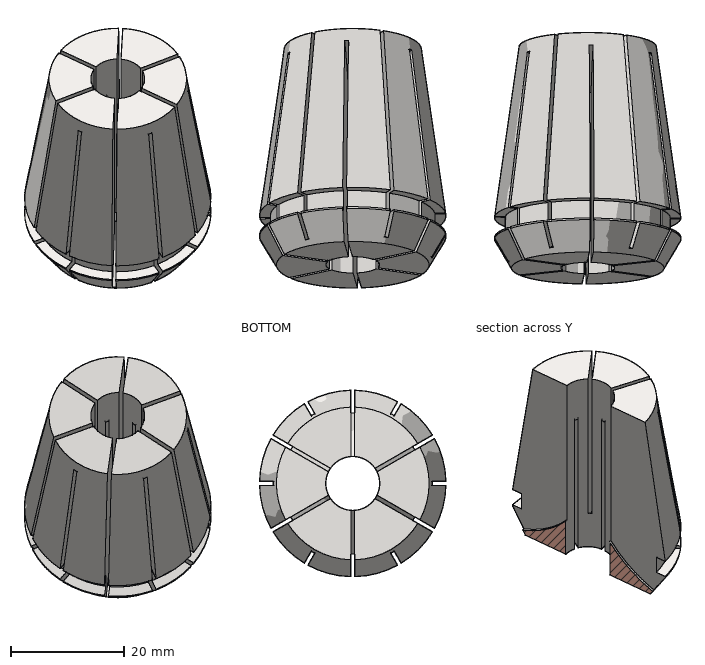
import cadquery as cq
import math

LENGTH = 40.0
MAX_RADIUS = 33.0 / 2
BORE_RADIUS = 9.5 / 2

TAPER_ANGLE = 8.0
TAPER_START_Z = 9.1

GROOVE_RADIUS = 29.2 / 2
GROOVE_BOTTOM_Z = 5.5
NOSE_ANGLE = 30.0
NOSE_RIM_Z = 5.2

SLOT_WIDTH = 0.7
SLOTS_PER_END = 6
SLOT_PITCH = 360.0 / SLOTS_PER_END
SAW_RADIUS = 21.5
SLOT_END_RISE = 7.0
TOP_SLOT_END_Z = 1.0
BOTTOM_SLOT_END_Z = 37.7
CLEARANCE = 2.0


def taper_radius(z):
    return MAX_RADIUS - (z - TAPER_START_Z) * math.tan(math.radians(TAPER_ANGLE))


def nose_radius(z):
    return MAX_RADIUS - (NOSE_RIM_Z - z) * math.tan(math.radians(NOSE_ANGLE))


def collet_body():
    profile = [
        (BORE_RADIUS, 0),
        (nose_radius(0), 0),
        (MAX_RADIUS, NOSE_RIM_Z),
        (MAX_RADIUS, GROOVE_BOTTOM_Z),
        (GROOVE_RADIUS, GROOVE_BOTTOM_Z),
        (GROOVE_RADIUS, TAPER_START_Z),
        (MAX_RADIUS, TAPER_START_Z),
        (taper_radius(LENGTH), LENGTH),
        (BORE_RADIUS, LENGTH),
    ]
    return cq.Workplane("XZ").polyline(profile).close().revolve(360, (0, 0), (0, 1))


def slot_cutter(outer_radius, outer_z, open_direction):
    """Radial slot along +X, open toward +Z (open_direction 1) or -Z (-1), with a saw-cut end."""
    bore_z = outer_z + open_direction * SLOT_END_RISE
    open_z = LENGTH + CLEARANCE if open_direction > 0 else -CLEARANCE
    far_radius = MAX_RADIUS + CLEARANCE

    run = outer_radius - BORE_RADIUS
    chord = math.hypot(run, SLOT_END_RISE)
    sagitta = SAW_RADIUS - math.sqrt(SAW_RADIUS ** 2 - (chord / 2) ** 2)
    arc_middle = (
        (BORE_RADIUS + outer_radius) / 2 - sagitta * SLOT_END_RISE / chord,
        (bore_z + outer_z) / 2 - open_direction * sagitta * run / chord,
    )

    return (
        cq.Workplane("XZ")
        .moveTo(0, open_z)
        .lineTo(0, bore_z)
        .lineTo(BORE_RADIUS, bore_z)
        .threePointArc(arc_middle, (outer_radius, outer_z))
        .lineTo(far_radius, outer_z)
        .lineTo(far_radius, open_z)
        .close()
        .extrude(SLOT_WIDTH / 2, both=True)
    )


def cut_slot_ring(body, cutter, first_angle):
    for index in range(SLOTS_PER_END):
        angle = first_angle + index * SLOT_PITCH
        body = body.cut(cutter.rotate((0, 0, 0), (0, 0, 1), angle))
    return body


top_slot = slot_cutter(nose_radius(TOP_SLOT_END_Z), TOP_SLOT_END_Z, 1)
bottom_slot = slot_cutter(taper_radius(BOTTOM_SLOT_END_Z), BOTTOM_SLOT_END_Z, -1)

result = collet_body()
result = cut_slot_ring(result, top_slot, 0)
result = cut_slot_ring(result, bottom_slot, SLOT_PITCH / 2)